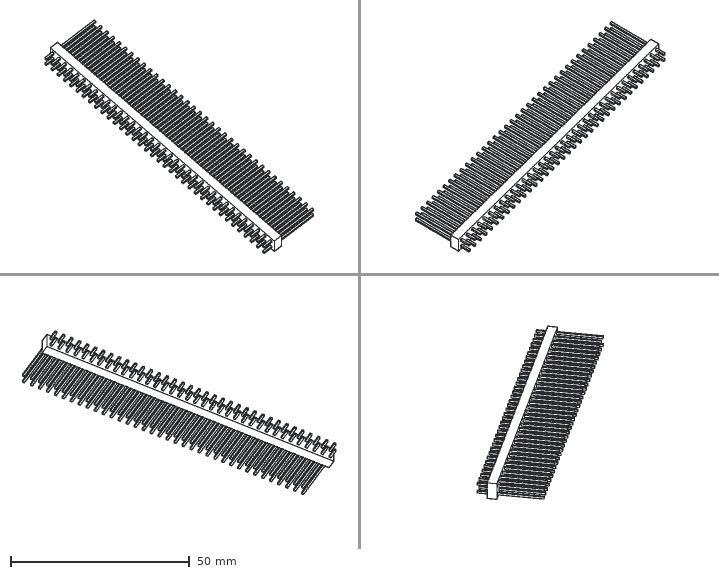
import cadquery as cq

pitch = 2.54
pins_per_row = 36
row_count = 2
pin_width = 0.635

housing_length = pins_per_row * pitch
housing_depth = 2.8
housing_height = 5.0

pin_length = 19.0
front_pin_length = 3.0


def make_housing():
    """Rectangular block centred on X and Z, with its front face at Y = 0."""
    return cq.Workplane("XY").box(
        housing_length, housing_depth, housing_height, centered=(True, False, True)
    )


def make_pins():
    """All pins, each one a square bar standing out of both faces of the housing."""
    return (
        cq.Workplane("XY", origin=(0, -front_pin_length, 0))
        .transformed(rotate=(90, 0, 0))
        .rarray(pitch, pitch, pins_per_row, row_count)
        .rect(pin_width, pin_width)
        .extrude(-pin_length)
    )


result = make_housing().union(make_pins())